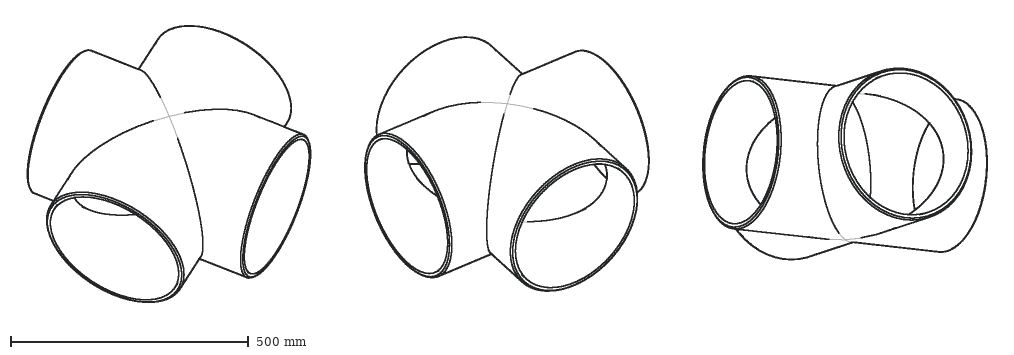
import cadquery as cq

run_length = 508.0
outer_diameter = 324.0
bore_diameter = 303.0
end_chamfer = 3.5

RUNS = (("YZ", "X"), ("XZ", "Y"))


def round_bar(plane, diameter):
    """Solid round bar centred on the origin, along the normal of the plane."""
    return cq.Workplane(plane).circle(diameter / 2).extrude(run_length / 2, both=True)


def run_body(plane, axis):
    """Outer body of one straight run, chamfered around both end rims."""
    end_rims = f"<{axis} or >{axis}"
    return round_bar(plane, outer_diameter).edges(end_rims).chamfer(end_chamfer)


result = cq.Workplane()
for plane, axis in RUNS:
    result = result.union(run_body(plane, axis))

for plane, axis in RUNS:
    result = result.cut(round_bar(plane, bore_diameter))